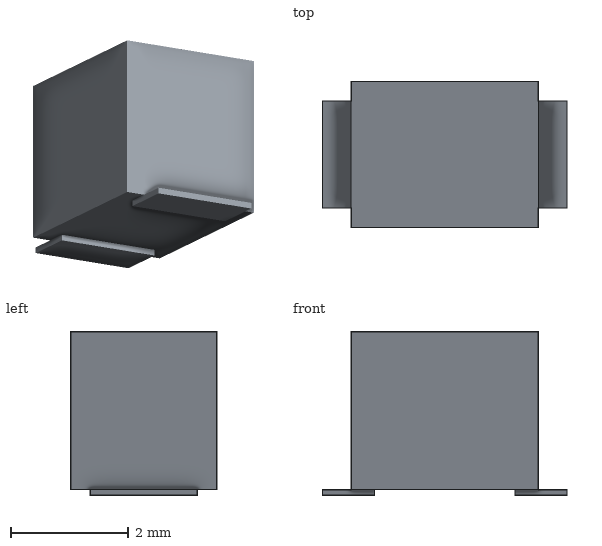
import cadquery as cq

overall_length = 4.18
overall_height = 2.8
body_length = 3.198
body_width = 2.5
terminal_length = 0.89
terminal_width = 1.83
terminal_thickness = 0.1

body_height = overall_height - terminal_thickness
terminal_center_x = (overall_length - terminal_length) / 2


def make_body():
    """Plain block standing on top of the terminals."""
    return (
        cq.Workplane("XY")
        .workplane(offset=terminal_thickness)
        .rect(body_length, body_width)
        .extrude(body_height)
    )


def make_terminal(side):
    """Flat terminal partly under the body; side is -1 or +1 along X."""
    return (
        cq.Workplane("XY")
        .center(side * terminal_center_x, 0)
        .rect(terminal_length, terminal_width)
        .extrude(terminal_thickness)
    )


body = make_body()
terminals = [make_terminal(side) for side in (-1, 1)]

result = cq.Compound.makeCompound([body.val(), *[terminal.val() for terminal in terminals]])